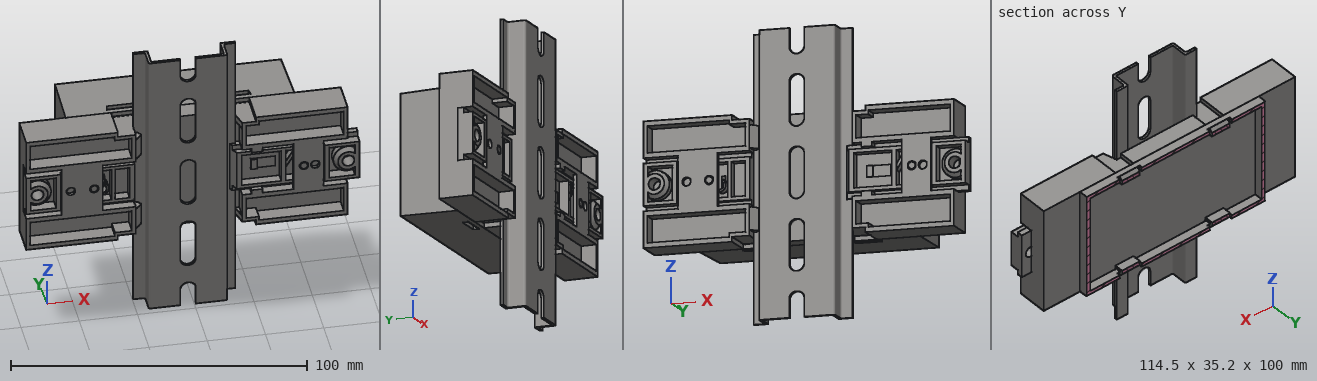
import cadquery as cq
import math


overall_length = 114.5

rail_length = 100.0
rail_width = 35.0
rail_height = 7.5
rail_thickness = 1.0
web_width = 27.0
bend_outside = 0.8
bend_inside = 0.3
slot_length = 18.0
slot_width = 5.4
slot_pitch = rail_length / 4

base_length = 110.4
base_width = 43.7
seat_y = rail_height
base_back_y = 14.2
foot_y = 2.1
left_foot_end = -rail_width / 2
right_foot_end = 19.0
end_wall = 1.4
pocket_outer_z = 20.2
pocket_inner_z = 10.9
pocket_relief_x = 24.7

snap_inner_x = 15.8
snap_outer_x = 23.7
snap_recess_z = pocket_outer_z
snap_tab_root_z = 18.8
snap_tab_thickness = 1.0
snap_tip_z = 21.8

hook_reach = 2.4
hook_tip_y = 4.8
hook_inner_z = 10.2
hook_outer_z = 18.1
flange_front_y = rail_height - rail_thickness
ramp_reach = 1.5
ramp_inner_z = 17.7

channel_half = 9.2
bridge_thickness = 1.3
bridge_inside_y = foot_y + bridge_thickness
left_bridge = (-42.9, -28.9)
right_bridge = (36.6, 47.0)
index_hole_radius = 1.5
left_free_hole_x = -39.8
right_free_hole_x = 44.1

keeper_x = (22.2, 26.0)
keeper_z = 7.7

pin_radius = 1.3
pin_places = (-31.8, 40.2)

slide_flange_y = 5.4
eye_floor_y = 6.1
slide_floor_y = 6.8
slide_body_half = 7.3
slide_opening_half = 6.1
slide_end_gap = 0.3
slide_nose_gap = 0.2
eye_box_wall = 1.6
eye_from_end = 3.9
eye_inner_wall = 1.6
eye_radius = 4.9
eye_face_radius = 3.5
eye_hole_radius = 2.1
eye_cone_height = 1.4
left_slide_end = -base_length / 2
left_slide_nose = left_foot_end - slide_nose_gap
right_slide_nose = 15.6
right_slide_end = left_slide_end + overall_length
nose_rim_x = 17.4
left_window = (-24.4, -19.5)
left_spring_opening = (-30.0, -25.6)
right_window = (19.1, 32.6)
right_spring_opening = (34.2, 38.8)

stop_half = 2.0
stop_top_y = 6.1
left_stop = (left_bridge[1], -27.5)
right_stop = (22.8, 25.0)
right_pad = (right_stop[1], 31.3)

spring_y = 3.8
spring_ring_z = -1.6
spring_ring_radius = 2.4
spring_thickness = 0.8
spring_arm_height = 2.3
spring_arm_start_z = -0.9
spring_arm_slope = 1.6

cover_length = 78.5
cover_width = base_width
cover_y = 35.2
cover_draft = 0.5
cover_wall = 1.6
window_low_y = 16.4
window_high_y = 18.4
window_low_margin = 1.0
window_high_margin = 0.6


def block(x, y, z):
    """Box between the two limits given for each axis, in either order."""
    sizes = [abs(limits[1] - limits[0]) for limits in (x, y, z)]
    corner = (min(x), min(y), min(z))
    return cq.Workplane("XY").box(*sizes, centered=False).translate(corner)


def prism_along_z(points, z):
    """Prism with an outline in X and Y, between two Z limits."""
    depth = max(z) - min(z)
    return cq.Workplane("XY").workplane(offset=min(z)).polyline(points).close().extrude(depth)


def prism_along_y(points, y):
    """Prism with an outline in X and Z, between two Y limits."""
    sketch = cq.Workplane("XZ", origin=(0, min(y), 0)).polyline(points).close()
    return sketch.extrude(min(y) - max(y))


def rod(x, radius, y, z=0):
    """Cylinder along Y at the given X and Z, between two Y limits."""
    return cq.Workplane("XZ", origin=(x, min(y), z)).circle(radius).extrude(min(y) - max(y))


def edges_along_rail(x, y):
    """Selector of the rail edge that runs along Z at the given X and Y."""
    reach = 0.1
    end = rail_length / 2 + reach
    low_corner = (x - reach, y - reach, -end)
    high_corner = (x + reach, y + reach, end)
    return cq.selectors.BoxSelector(low_corner, high_corner, boundingbox=True)


def make_rail():
    half_web = web_width / 2
    half_width = rail_width / 2
    flange_y = (flange_front_y, rail_height)
    z = (-rail_length / 2, rail_length / 2)
    rail = block((-half_web, half_web), (0, rail_height), z)
    rail = rail.union(block((-half_width, half_width), flange_y, z))
    inside = half_web - rail_thickness
    hollow_y = (rail_thickness, rail_height)
    rail = rail.cut(block((-inside, inside), hollow_y, z))

    for side in (-1, 1):
        for x, y, radius in (
            (half_web, 0, bend_outside),
            (half_web, flange_front_y, bend_outside),
            (inside, rail_thickness, bend_inside),
            (inside, rail_height, bend_inside),
        ):
            rail = rail.edges(edges_along_rail(side * x, y)).fillet(radius)

    for number in range(-2, 3):
        slot = cq.Workplane("XZ").center(0, number * slot_pitch).slot2D(slot_length, slot_width, 90)
        rail = rail.cut(slot.extrude(-rail_thickness))
    return rail


def base_pocket(inner_x, outer_x, side):
    """Pocket of a foot, narrowed where the snap recess cuts into the outer wall."""
    direction = math.copysign(1, outer_x)
    relief_x = direction * pocket_relief_x
    relief_z = side * (snap_recess_z - end_wall)
    outline = [
        (inner_x, side * pocket_inner_z),
        (outer_x, side * pocket_inner_z),
        (outer_x, side * pocket_outer_z),
        (relief_x, side * pocket_outer_z),
        (relief_x, relief_z),
        (inner_x, relief_z),
    ]
    return prism_along_y(outline, (foot_y, seat_y))


def snap_tab(direction, side):
    """Arm rising from the base, with a wedge that catches in a cover window."""
    outer_z = snap_tab_root_z + snap_tab_thickness
    outline = [
        (base_back_y, snap_tab_root_z),
        (window_high_y, snap_tab_root_z),
        (window_high_y, outer_z),
        (window_low_y, snap_tip_z),
        (window_low_y, outer_z),
        (base_back_y, outer_z),
    ]
    start = min(direction * snap_inner_x, direction * snap_outer_x)
    sketch = cq.Workplane("YZ", origin=(start, 0, 0))
    sketch = sketch.polyline([(y, side * z) for y, z in outline]).close()
    return sketch.extrude(snap_outer_x - snap_inner_x)


def make_base():
    half_length = base_length / 2
    half_width = base_width / 2
    full_z = (-half_width, half_width)
    base = block((-half_length, half_length), (seat_y, base_back_y), full_z)
    foot_depth = (foot_y, seat_y)
    base = base.union(block((-half_length, left_foot_end), foot_depth, full_z))
    base = base.union(block((right_foot_end, half_length), foot_depth, full_z))

    channel_z = (-channel_half, channel_half)
    for ends, bridge in (
        ((-half_length, left_foot_end), left_bridge),
        ((right_foot_end, half_length), right_bridge),
    ):
        base = base.cut(block(ends, (bridge_inside_y, seat_y), channel_z))
        base = base.cut(block((ends[0], bridge[0]), foot_depth, channel_z))
        base = base.cut(block((bridge[1], ends[1]), foot_depth, channel_z))

    for x in (left_free_hole_x, right_free_hole_x, *pin_places):
        base = base.cut(rod(x, index_hole_radius, (foot_y, bridge_inside_y)))

    left_pocket = (left_foot_end - end_wall, -half_length + end_wall)
    right_pocket = (right_foot_end + end_wall, half_length - end_wall)
    hook_outline = [
        (left_foot_end, foot_y),
        (left_foot_end + hook_reach, hook_tip_y),
        (left_foot_end + hook_reach / 2, flange_front_y),
        (left_foot_end, flange_front_y),
    ]
    ramp_outline = [
        (right_foot_end, foot_y),
        (right_foot_end, seat_y),
        (right_foot_end - ramp_reach, seat_y),
    ]
    for side in (-1, 1):
        keeper_reach = (side * keeper_z, side * channel_half)
        base = base.union(block(keeper_x, (foot_y, slide_flange_y), keeper_reach))
        base = base.cut(base_pocket(*left_pocket, side))
        base = base.cut(base_pocket(*right_pocket, side))
        base = base.union(prism_along_z(hook_outline, (side * hook_inner_z, side * hook_outer_z)))
        base = base.union(prism_along_z(ramp_outline, (side * ramp_inner_z, side * snap_recess_z)))
        for direction in (-1, 1):
            recess_x = (direction * snap_inner_x, direction * snap_outer_x)
            recess_z = (side * snap_recess_z, side * half_width)
            base = base.cut(block(recess_x, (foot_y, base_back_y), recess_z))
            base = base.union(snap_tab(direction, side))

    stop_z = (-stop_half, stop_half)
    left_stop_outline = [
        (left_stop[0], seat_y),
        (left_stop[0], slide_floor_y),
        (left_stop[1], stop_top_y),
        (left_stop[1], seat_y),
    ]
    base = base.union(prism_along_z(left_stop_outline, stop_z))
    base = base.union(block(right_stop, (stop_top_y, seat_y), stop_z))
    return base.union(block(right_pad, (slide_floor_y, seat_y), stop_z))


def slide_blank(end, nose, bridge_edge):
    """T-shaped bar with a taller box and a pull eye at its outer end."""
    body_z = (-slide_body_half, slide_body_half)
    flange_z = (-channel_half, channel_half)
    opening_z = (-slide_opening_half, slide_opening_half)
    direction = math.copysign(1, end)
    slide = block((end, nose), (bridge_inside_y, seat_y), body_z)
    slide = slide.union(block((end, nose), (slide_flange_y, seat_y), flange_z))

    box_edge = bridge_edge + direction * slide_end_gap
    slide = slide.union(block((end, box_edge), (foot_y, seat_y), body_z))
    box_inside = (end - direction * eye_box_wall, box_edge + direction * eye_inner_wall)
    slide = slide.cut(block(box_inside, (foot_y, eye_floor_y), opening_z))

    eye_x = end - direction * eye_from_end
    cone_profile = [
        (0, eye_floor_y),
        (eye_radius, eye_floor_y),
        (eye_radius, foot_y + eye_cone_height),
        (eye_face_radius, foot_y),
        (0, foot_y),
    ]
    eye = cq.Workplane("XY").polyline(cone_profile).close().revolve(360, (0, 0, 0), (0, 1, 0))
    box_space = block((end, bridge_edge), (foot_y, seat_y), opening_z)
    eye = eye.translate((eye_x, 0, 0)).intersect(box_space)
    return slide.union(eye).cut(rod(eye_x, eye_hole_radius, (foot_y, seat_y)))


def make_left_slide():
    opening_z = (-slide_opening_half, slide_opening_half)
    opening_y = (bridge_inside_y, slide_floor_y)
    slide = slide_blank(left_slide_end, left_slide_nose, left_bridge[0])
    slide = slide.cut(block(left_window, opening_y, opening_z))
    slide = slide.cut(block(left_spring_opening, opening_y, opening_z))
    slide = slide.cut(block(left_stop, (slide_floor_y, seat_y), (-stop_half, stop_half)))

    ring_y = (spring_y, slide_floor_y)
    ring_x = left_bridge[1]
    ring = rod(ring_x, spring_ring_radius, ring_y, spring_ring_z)
    ring = ring.cut(rod(ring_x, spring_ring_radius - spring_thickness, ring_y, spring_ring_z))
    ring = ring.intersect(block((ring_x, left_spring_opening[1]), ring_y, opening_z))
    ring = ring.cut(block(left_stop, ring_y, (-stop_half, stop_half)))
    return slide.union(ring)


def make_right_slide():
    opening_z = (-slide_opening_half, slide_opening_half)
    opening_y = (bridge_inside_y, slide_floor_y)
    slide = slide_blank(right_slide_end, right_slide_nose, right_bridge[1])
    slide = slide.cut(block(right_window, opening_y, opening_z))
    slide = slide.cut(block(right_spring_opening, opening_y, opening_z))
    stop_window = (right_stop[0], right_pad[1])
    slide = slide.cut(block(stop_window, (slide_floor_y, seat_y), (-stop_half, stop_half)))

    start_x, end_x = right_spring_opening
    arm_rise = spring_arm_slope * (end_x - start_x)
    arm_outline = [
        (start_x, spring_arm_start_z),
        (end_x, spring_arm_start_z + arm_rise),
        (end_x, spring_arm_start_z + arm_rise + spring_arm_height),
        (start_x, spring_arm_start_z + spring_arm_height),
    ]
    arm = prism_along_y(arm_outline, (spring_y, slide_floor_y))
    slide = slide.union(arm.intersect(block(right_spring_opening, opening_y, opening_z)))

    bevel = [
        (right_slide_nose, flange_front_y),
        (right_slide_nose, bridge_inside_y),
        (nose_rim_x, bridge_inside_y),
    ]
    full_z = (-channel_half, channel_half)
    slide = slide.cut(prism_along_z(bevel, full_z))
    flange_x = (right_slide_nose, rail_width / 2)
    return slide.cut(block(flange_x, (flange_front_y, rail_height), full_z))


def make_pin(x):
    return rod(x, pin_radius, (foot_y, bridge_inside_y))


def drafted_block(length, width, start_y, end_y):
    """Block along Y that narrows by the cover draft on every side."""
    sketch = cq.Workplane("XZ", origin=(0, start_y, 0)).rect(length, width)
    sketch = sketch.workplane(offset=start_y - end_y)
    return sketch.rect(length - 2 * cover_draft, width - 2 * cover_draft).loft(ruled=True)


def make_cover():
    cover = drafted_block(cover_length, cover_width, base_back_y, cover_y)
    inner_length = cover_length - 2 * cover_wall
    inner_width = cover_width - 2 * cover_wall
    cover = cover.cut(drafted_block(inner_length, inner_width, base_back_y, cover_y - cover_wall))
    full_z = (-cover_width / 2, cover_width / 2)
    for direction in (-1, 1):
        window = [
            (direction * (snap_inner_x - window_low_margin), window_low_y),
            (direction * (snap_outer_x + window_low_margin), window_low_y),
            (direction * (snap_outer_x + window_high_margin), window_high_y),
            (direction * (snap_inner_x - window_high_margin), window_high_y),
        ]
        cover = cover.cut(prism_along_z(window, full_z))
    return cover


rail = make_rail()
base = make_base()
left_slide = make_left_slide()
right_slide = make_right_slide()
pins = [make_pin(x) for x in pin_places]
cover = make_cover()

bodies = [rail, base, left_slide, right_slide, *pins, cover]
result = cq.Compound.makeCompound([body.val() for body in bodies])